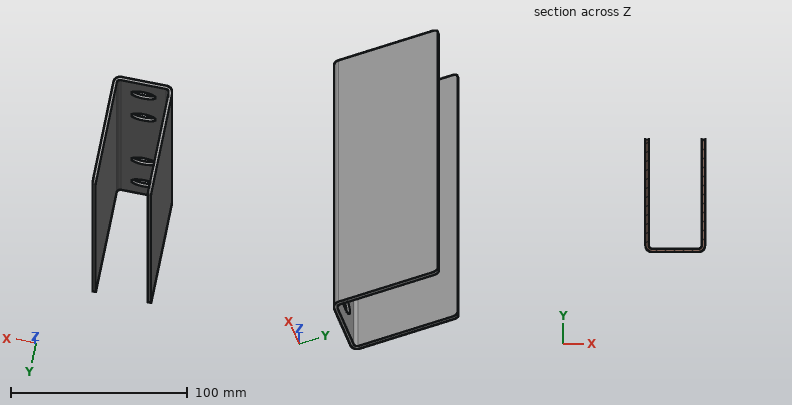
import cadquery as cq

width = 34.0
depth = 64.0
height = 250.0

thickness = 2.0
inner_bend_radius = 2.0
outer_bend_radius = inner_bend_radius + thickness
flange_corner_radius = 3.0

hole_diameter = 14.0
hole_end_distance = 25.0
hole_pitch = 50.0


def rounded_bar(bar_width, web_face_y, bend_radius):
    """Full-height bar from web_face_y to the flange ends, its two -Y vertical edges rounded."""
    bar_depth = depth - web_face_y
    return (
        cq.Workplane("XY")
        .box(bar_width, bar_depth, height, centered=(True, False, False))
        .translate((0, web_face_y, 0))
        .edges("|Z and <Y")
        .fillet(bend_radius)
    )


def channel():
    """Bent sheet with constant wall thickness and concentric bend radii."""
    outside = rounded_bar(width, 0, outer_bend_radius)
    inside = rounded_bar(width - 2 * thickness, thickness, inner_bend_radius)
    return outside.cut(inside)


def round_flange_corners(body):
    """Round the free top and bottom corners of both flanges."""
    return body.faces(">Y").edges("|X").fillet(flange_corner_radius)


def web_holes():
    """Cylinders along Y that pierce the web near both ends."""
    from_end = (hole_end_distance, hole_end_distance + hole_pitch)
    centers = []
    for distance in from_end:
        centers.append((0, distance))
        centers.append((0, height - distance))
    return (
        cq.Workplane("XZ")
        .pushPoints(centers)
        .circle(hole_diameter / 2)
        .extrude(-thickness)
    )


result = round_flange_corners(channel()).cut(web_holes())